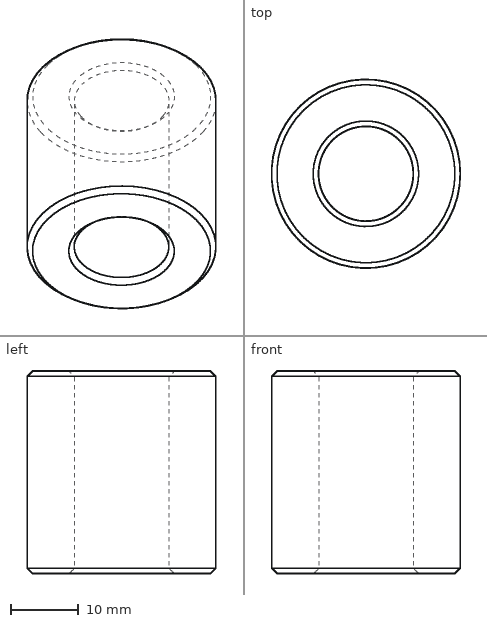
import cadquery as cq

length = 30.0
outer_diameter = 28.0
bore_diameter = 14.0
edge_chamfer = 0.8

sleeve = (
    cq.Workplane("XY")
    .circle(outer_diameter / 2)
    .circle(bore_diameter / 2)
    .extrude(length)
)

result = sleeve.faces("|Z").edges().chamfer(edge_chamfer)